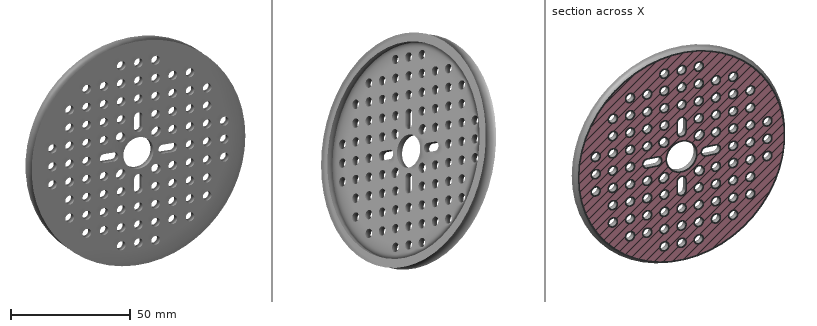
import cadquery as cq
import math

outer_diameter = 99.6
rim_width = 6.0
groove_depth = 1.7
recess_diameter = 92.0
recess_depth = rim_width / 2

bore_diameter = 14.0
hole_diameter = 4.0
pitches_to_edge = 5
grid_half_span = 40.0
pitch = grid_half_span / pitches_to_edge

row_reach = [5, 5, 4, 4, 3, 1]

slot_inner_radius = pitch * math.sqrt(2)
straight_slot_pitches = 2
straight_slot_outer_radius = straight_slot_pitches * pitch
diagonal_slot_outer_radius = 12.0

outer_radius = outer_diameter / 2
half_width = rim_width / 2


def make_disc():
    """Solid disc with a rounded belt groove round its edge."""
    profile = (
        cq.Workplane("XY")
        .moveTo(-half_width, 0)
        .lineTo(-half_width, outer_radius)
        .threePointArc((0, outer_radius - groove_depth), (half_width, outer_radius))
        .lineTo(half_width, 0)
        .close()
    )
    return profile.revolve(360, (0, 0, 0), (1, 0, 0))


def front_face():
    """Sketch plane on the -X face, extruding towards +X."""
    return cq.Workplane("YZ", origin=(-half_width, 0, 0))


def make_recess():
    """Shallow round pocket in the -X face, leaving the rim standing."""
    return front_face().circle(recess_diameter / 2).extrude(recess_depth)


def make_bore():
    return front_face().circle(bore_diameter / 2).extrude(rim_width)


def is_slot_place(column, row):
    """True where the bore or a radial slot takes the place of a grid hole."""
    near_bore = max(abs(column), abs(row)) <= 1
    on_straight_slot = column * row == 0 and abs(column + row) <= straight_slot_pitches
    return near_bore or on_straight_slot


def make_grid_holes():
    """Round through holes filling the grid, clear of the bore and slots."""
    places = []
    for row in range(-pitches_to_edge, pitches_to_edge + 1):
        reach = row_reach[abs(row)]
        for column in range(-reach, reach + 1):
            if not is_slot_place(column, row):
                places.append((column * pitch, row * pitch))
    return front_face().pushPoints(places).circle(hole_diameter / 2).extrude(rim_width)


def make_radial_slot(angle, slot_outer_radius):
    """Slot of hole width whose end centres lie at the inner and outer radius."""
    middle_radius = (slot_inner_radius + slot_outer_radius) / 2
    length = slot_outer_radius - slot_inner_radius + hole_diameter
    slot = front_face().center(middle_radius, 0).slot2D(length, hole_diameter).extrude(rim_width)
    return slot.rotate((0, 0, 0), (1, 0, 0), angle)


result = make_disc().cut(make_recess())
result = result.cut(make_bore())
result = result.cut(make_grid_holes())
for quarter in range(4):
    straight_angle = 90 * quarter
    result = result.cut(make_radial_slot(straight_angle, straight_slot_outer_radius))
    result = result.cut(make_radial_slot(straight_angle + 45, diagonal_slot_outer_radius))